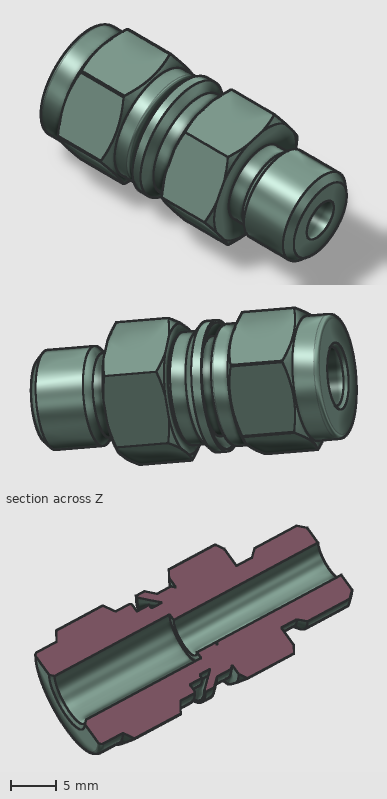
import cadquery as cq
import math

length = 34.22

across_corners = 16.5
hex_bevel_slope = math.tan(math.radians(30))

nut_diameter = 13.9
nut_hex_start = 2.98
nut_hex_end = 10.57
nut_corner_diameter = 16.4
nut_collar_diameter = 13.6
nut_end = 12.6
nut_front_fillet = 0.48
nut_collar_fillet = 0.3

neck_diameter = 11.12
flange_start = 13.5
flange_rim_end = 14.65
flange_diameter = 14.6
shoulder_diameter = 12.6
shoulder_chamfer = 0.38
recess_diameter = 14.03
neck_end = 14.15
neck_relief_diameter = 10.1
recess_floor = flange_start + (recess_diameter - neck_relief_diameter) / 2
body_hex_start = 17.83
body_hex_end = 25.0
body_hex_face_diameter = 14.55

relief_diameter = 9.4
thread_diameter = 11.12
thread_start = 27.0
thread_chamfer = (thread_diameter - relief_diameter) / 2

bore_diameter = 4.83
socket_diameter = 6.55
socket_depth = 15.4
socket_chamfer = 0.45


def cylinder(diameter, start, end):
    """Solid cylinder on the X axis between two stations."""
    return cq.Workplane("YZ", origin=(start, 0, 0)).circle(diameter / 2).extrude(end - start)


def beveled_hex(start, end, start_diameter, end_diameter, corner_diameter):
    """Hexagon with flats facing up and down, its corners turned to a cone at each end."""
    prism = (
        cq.Workplane("YZ", origin=(start, 0, 0))
        .polygon(6, across_corners)
        .extrude(end - start)
    )
    corner_radius = corner_diameter / 2
    start_bevel = (corner_radius - start_diameter / 2) * hex_bevel_slope
    end_bevel = (corner_radius - end_diameter / 2) * hex_bevel_slope
    envelope = (
        cq.Workplane("XY")
        .moveTo(start, 0)
        .lineTo(start, start_diameter / 2)
        .lineTo(start + start_bevel, corner_radius)
        .lineTo(end - end_bevel, corner_radius)
        .lineTo(end, end_diameter / 2)
        .lineTo(end, 0)
        .close()
        .revolve(360, (0, 0, 0), (1, 0, 0))
    )
    return prism.intersect(envelope)


def make_nut():
    front = cylinder(nut_diameter, 0, nut_hex_start).faces("<X").edges().fillet(nut_front_fillet)
    collar = cylinder(nut_collar_diameter, nut_hex_end, nut_end)
    collar = collar.faces(">X").edges().fillet(nut_collar_fillet)
    hexagon = beveled_hex(
        nut_hex_start, nut_hex_end, nut_diameter, nut_collar_diameter, nut_corner_diameter
    )
    return front.union(hexagon).union(collar)


def make_flange():
    """Flange rim falling at 45 degrees to the shoulder beside the body hexagon."""
    rim_radius = flange_diameter / 2
    shoulder_radius = shoulder_diameter / 2
    return (
        cq.Workplane("XY")
        .moveTo(flange_start, 0)
        .lineTo(flange_start, rim_radius)
        .lineTo(flange_rim_end, rim_radius)
        .lineTo(flange_rim_end + rim_radius - shoulder_radius, shoulder_radius)
        .lineTo(body_hex_start - shoulder_chamfer, shoulder_radius)
        .lineTo(body_hex_start, shoulder_radius - shoulder_chamfer)
        .lineTo(body_hex_start, 0)
        .close()
        .revolve(360, (0, 0, 0), (1, 0, 0))
    )


def make_flange_recess():
    """Conical hollow in the flange face, around the neck and its relief."""
    return cq.Workplane(
        cq.Solid.makeCone(
            recess_diameter / 2,
            neck_relief_diameter / 2,
            recess_floor - flange_start,
            pnt=cq.Vector(flange_start, 0, 0),
            dir=cq.Vector(1, 0, 0),
        )
    )


def make_body():
    neck = cylinder(neck_diameter, nut_end, neck_end)
    neck_relief = cylinder(neck_relief_diameter, neck_end, recess_floor)
    flange = make_flange().cut(make_flange_recess())
    hexagon = beveled_hex(
        body_hex_start, body_hex_end, body_hex_face_diameter, body_hex_face_diameter, across_corners
    )
    relief = cylinder(relief_diameter, body_hex_end, thread_start)
    thread = cylinder(thread_diameter, thread_start, length)
    thread = thread.faces("<X or >X").edges().chamfer(thread_chamfer)
    return neck.union(neck_relief).union(flange).union(hexagon).union(relief).union(thread)


def cut_bore(solid):
    """Through bore, with a wider chamfered tube socket at the nut end."""
    socket = cylinder(socket_diameter, 0, socket_depth)
    entry = cq.Workplane(
        cq.Solid.makeCone(
            socket_diameter / 2 + socket_chamfer,
            socket_diameter / 2,
            socket_chamfer,
            dir=cq.Vector(1, 0, 0),
        )
    )
    return solid.cut(cylinder(bore_diameter, 0, length)).cut(socket).cut(entry)


result = cut_bore(make_nut().union(make_body()))